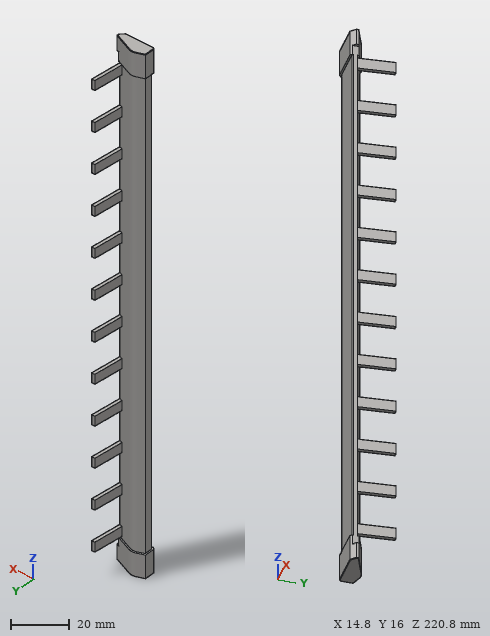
import cadquery as cq

total_length = 220.8
overall_width = 14.8
overall_depth = 16.0

wedge_width = 13.7
wedge_side_height = 5.0
ridge_x = 4.9
ridge_height = 6.8
ridge_radius = 4.5
cap_base_chamfer = 0.7
body_base_chamfer = 0.5

lip_length = 6.5
lip_nose_bottom = 1.8
lip_nose_top = 2.6

cap_length = 10.2
cap_wall = 0.7
cap_end_chamfer = 0.2

fin_count = 12
fin_pitch = 17.7
fin_height = 4.2
fin_thickness = 1.44
fin_lean = 1.3
fin_root_y = 2.2


def face_height(x):
    """Height of the long sloping face, which runs from the ridge to the nose of the lip."""
    slope = (lip_nose_top - ridge_height) / (overall_width - ridge_x)
    return ridge_height + slope * (x - ridge_x)


def wedge(inset, base_chamfer, length):
    """Wedge with a rounded ridge, set inwards on every side but the thin one."""
    points = [
        (inset + base_chamfer, inset),
        (wedge_width - base_chamfer, inset),
        (wedge_width, inset + base_chamfer),
        (wedge_width, face_height(wedge_width) - inset),
        (ridge_x, ridge_height - inset),
        (inset, wedge_side_height - inset),
        (inset, inset + base_chamfer),
    ]
    solid = cq.Workplane("XY").polyline(points).close().extrude(length)
    return solid.edges("|Z").edges(">Y").fillet(ridge_radius)


def make_lip():
    points = [
        (wedge_width, cap_base_chamfer),
        (overall_width, lip_nose_bottom),
        (overall_width, lip_nose_top),
        (wedge_width, face_height(wedge_width)),
    ]
    return cq.Workplane("XY").polyline(points).close().extrude(lip_length)


def make_cap():
    """Bottom cap with a bevelled rim; its lip stops short of the inner end."""
    cap = wedge(0, cap_base_chamfer, cap_length).union(make_lip())
    return cap.faces("<Z").edges().chamfer(cap_end_chamfer)


def make_fin(center_z):
    root_outer_x = overall_width - fin_lean
    points = [
        (root_outer_x - fin_thickness, fin_root_y),
        (root_outer_x, fin_root_y),
        (overall_width, overall_depth),
        (overall_width - fin_thickness, overall_depth),
    ]
    blade = cq.Workplane("XY").polyline(points).close().extrude(fin_height)
    return blade.translate((0, 0, center_z - fin_height / 2))


bottom_cap = make_cap()
top_cap = bottom_cap.mirror("XY", (0, 0, total_length / 2))
body = wedge(cap_wall, body_base_chamfer, total_length - 2 * cap_wall)
body = body.translate((0, 0, cap_wall))
result = body.union(bottom_cap).union(top_cap)

first_fin_z = (total_length - (fin_count - 1) * fin_pitch) / 2
for index in range(fin_count):
    result = result.union(make_fin(first_fin_z + index * fin_pitch))